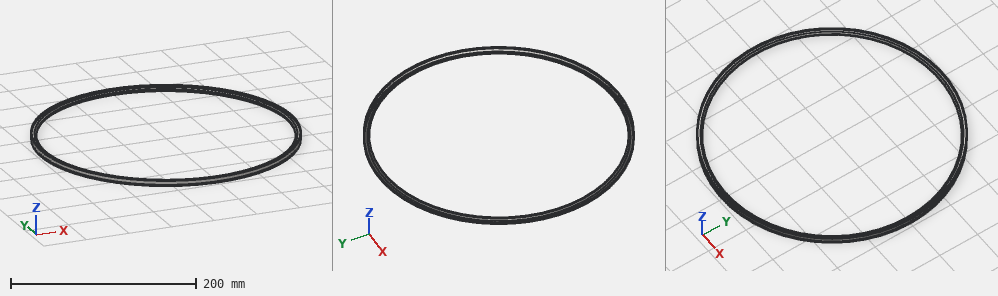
import cadquery as cq

outer_radius = 146.0
inner_radius = 140.0
height = 7.0

rim_width = 1.02
groove_depth = 1.5
ridge_drop = 1.0
ridge_radius = 141.5

half_height = height / 2
groove_outer_radius = outer_radius - rim_width
floor_height = half_height - groove_depth
crest_height = half_height - ridge_drop

groove_inner_radius = ridge_radius + (crest_height - floor_height)
bore_half_height = crest_height - (ridge_radius - inner_radius)

upper_half = [
    (inner_radius, bore_half_height),
    (ridge_radius, crest_height),
    (groove_inner_radius, floor_height),
    (groove_outer_radius, floor_height),
    (groove_outer_radius, half_height),
    (outer_radius, half_height),
]
lower_half = [(radius, -level) for radius, level in reversed(upper_half)]

section = cq.Workplane("XZ").polyline(upper_half + lower_half).close()
result = section.revolve(360, (0, 0, 0), (0, 1, 0))